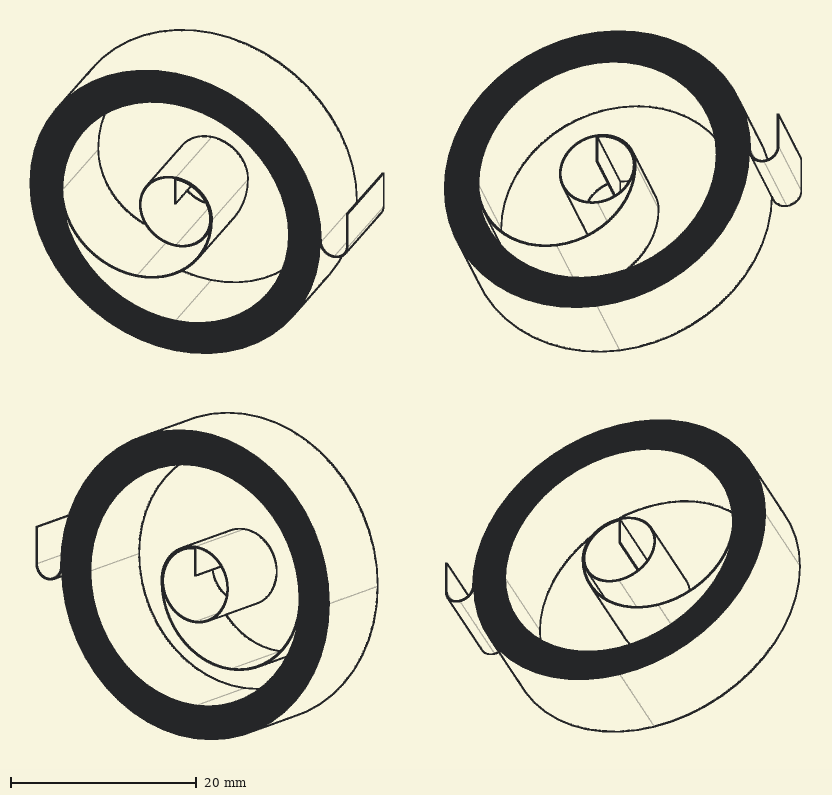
import cadquery as cq
import math

strip_width = 10.0
coil_pitch = 0.13
coil_gap = 0.002
strip_thickness = coil_pitch - coil_gap
half_thickness = strip_thickness / 2

overall_height = 33.95
coil_half_turns = 57
half_turn_step = coil_pitch / 2
coil_outer_diameter = overall_height + half_turn_step

overall_length = 37.13
leg_length = 4.0
hook_inner_diameter = overall_length - coil_outer_diameter - strip_thickness

loop_inner_radius = 4.0
tab_length = 2.97

loop_radius = loop_inner_radius + half_thickness
loop_end = loop_radius + coil_pitch
coil_radius = coil_outer_diameter / 2 - half_thickness
hook_radius = hook_inner_diameter / 2 + half_thickness
leg_x = coil_radius + 2 * hook_radius


def loop_arcs():
    """One and a quarter clockwise turns, starting at the top."""
    return [
        (0, 0, loop_radius, 90, -90),
        (0, half_turn_step, loop_radius + half_turn_step, -90, -270),
        (0, 0, loop_end, 90, 0),
    ]


def lower_half_turn(right, left):
    """A clockwise lower half turn between two points on the X axis, as two quarters."""
    centre = (right + left) / 2
    radius = (right - left) / 2
    return [(centre, 0, radius, 0, -90), (centre, 0, radius, -90, -180)]


def coil_arcs():
    """The lower bridge from the loop, then half turns of growing radius up to the hook."""
    half_turns = []
    right = coil_radius
    for turn in range(coil_half_turns):
        radius = coil_radius - turn * half_turn_step
        if turn % 2 == 0:
            left = right - 2 * radius
            half_turns.append([((right + left) / 2, 0, radius, 180, 0)])
        else:
            right = left + 2 * radius
            half_turns.append(lower_half_turn(right, left))
    half_turns.append(lower_half_turn(loop_end, left))
    return [quarter for half_turn in reversed(half_turns) for quarter in half_turn]


def hook_arcs():
    """Half an anticlockwise turn back up, as two quarters."""
    centre = coil_radius + hook_radius
    return [(centre, 0, hook_radius, 180, 270), (centre, 0, hook_radius, 270, 360)]


def side_points(arc, offset):
    """Start, middle and end of an arc moved sideways; positive is to the left of the path."""
    x, z, radius, start, end = arc
    clockwise = end < start
    reach = radius + offset if clockwise else radius - offset
    angles = [math.radians(angle) for angle in (start, (start + end) / 2, end)]
    return [(x + reach * math.cos(angle), z + reach * math.sin(angle)) for angle in angles]


path = loop_arcs() + coil_arcs() + hook_arcs()

tab_end = loop_inner_radius - tab_length
loop_outer_radius = loop_inner_radius + strip_thickness
tab_top = math.sqrt(loop_outer_radius**2 - strip_thickness**2)
profile = (
    cq.Workplane("XZ")
    .moveTo(-strip_thickness, tab_top)
    .lineTo(-strip_thickness, tab_end)
    .lineTo(0, tab_end)
    .lineTo(0, loop_inner_radius)
)

for arc in path:
    _, middle, end = side_points(arc, -half_thickness)
    profile = profile.threePointArc(middle, end)

profile = (
    profile.lineTo(leg_x + half_thickness, leg_length)
    .lineTo(leg_x - half_thickness, leg_length)
    .lineTo(leg_x - half_thickness, 0)
)

for arc in reversed(path):
    start, middle, _ = side_points(arc, half_thickness)
    profile = profile.threePointArc(middle, start)

result = profile.close().extrude(strip_width, clean=False)